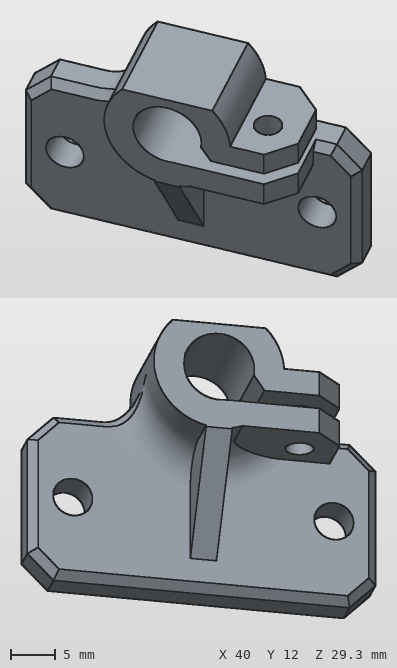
import cadquery as cq
import math

plate_width = 40.0
plate_height = 20.0
plate_thickness = 4.0
corner_chamfer = 3.0
front_chamfer = 1.0
mount_hole_diameter = 4.5
mount_hole_spacing = 30.0

depth = 12.0
barrel_radius = 7.5
barrel_axis_z = 24.0
bore_radius = 4.05
wall_above_bore = 1.2
barrel_top_z = barrel_axis_z + bore_radius + wall_above_bore
flat_half_width = math.sqrt(barrel_radius**2 - (barrel_top_z - barrel_axis_z) ** 2)
blend_radius = 4.0
blend_centre_distance = barrel_radius + blend_radius
blend_front_y = -plate_thickness - blend_radius

fading_start_angle = math.degrees(
    math.acos((blend_radius + front_chamfer) / (2 * blend_centre_distance))
)
bevel_steps = 10
bevel_overhang = 0.7

ear_end_x = 14.5
ear_corner_chamfer = 3.0
lower_ear_thickness = 3.0
upper_ear_thickness = 2.9
slot_height = 1.58
slot_bottom_z = plate_height
slot_top_z = slot_bottom_z + slot_height
ear_bottom_z = slot_bottom_z - lower_ear_thickness
ear_top_z = slot_top_z + upper_ear_thickness
lip_start_x = 5.2
lip_run = 1.2
lip_rise = 1.75
screw_hole_diameter = 3.2
screw_hole_x = 10.3
screw_hole_y = -7.25

rib_thickness = 3.0
rib_foot_z = 3.8


def make_plate():
    """Plate with cut corners and a chamfer around its front face."""
    return (
        cq.Workplane("XY")
        .box(plate_width, plate_thickness, plate_height, centered=(True, False, False))
        .translate((0, -plate_thickness, 0))
        .edges("|Y")
        .chamfer(corner_chamfer)
        .faces("<Y")
        .chamfer(front_chamfer)
    )


def make_upper_barrel():
    """Upper half of the barrel, flattened on top."""
    return (
        cq.Workplane("XZ")
        .moveTo(-barrel_radius, barrel_axis_z)
        .radiusArc((-flat_half_width, barrel_top_z), barrel_radius)
        .lineTo(flat_half_width, barrel_top_z)
        .radiusArc((barrel_radius, barrel_axis_z), barrel_radius)
        .close()
        .extrude(depth)
    )


def make_lower_barrel():
    """Lower half of the barrel with its fillets to the plate's front face and top edge."""
    reach = blend_centre_distance + blend_radius
    flared_half = (
        cq.Workplane("XY")
        .lineTo(reach, 0)
        .lineTo(reach, -plate_thickness)
        .lineTo(blend_centre_distance, -plate_thickness)
        .radiusArc((barrel_radius, blend_front_y), -blend_radius)
        .lineTo(barrel_radius, -depth)
        .lineTo(0, -depth)
        .close()
        .revolve(180, (0, 0), (0, 1))
        .translate((0, 0, barrel_axis_z))
    )
    outline = (
        cq.Workplane("XZ")
        .moveTo(-blend_centre_distance, plate_height)
        .radiusArc((-barrel_radius, barrel_axis_z), -blend_radius)
        .lineTo(barrel_radius, barrel_axis_z)
        .radiusArc((blend_centre_distance, plate_height), -blend_radius)
        .lineTo(blend_centre_distance, corner_chamfer)
        .lineTo(-blend_centre_distance, corner_chamfer)
        .close()
        .extrude(depth)
    )
    return flared_half.intersect(outline).cut(make_straight_bevel()).cut(make_fading_bevel())


def make_straight_bevel():
    """Cutter that carries the plate's front chamfer around the first part of the top fillet."""
    cutter_size = 2 * front_chamfer
    bevel_back_y = front_chamfer - plate_thickness
    return (
        cq.Workplane("XY")
        .moveTo(blend_radius, bevel_back_y)
        .lineTo(blend_radius + cutter_size, bevel_back_y - cutter_size)
        .lineTo(blend_radius, bevel_back_y - cutter_size)
        .close()
        .revolve(90 - fading_start_angle, (0, 0), (0, 1))
        .rotate((0, 0, 0), (0, 1, 0), fading_start_angle)
        .translate((-blend_centre_distance, 0, barrel_axis_z))
    )


def make_fading_bevel():
    """Cutter for the bevel between the top and front fillets, fading to a point on the barrel."""
    sections = [
        bevel_section(fading_start_angle * (1 - step / bevel_steps))
        for step in range(bevel_steps)
    ]
    tip = cq.Vertex.makeVertex(-barrel_radius, blend_front_y, barrel_axis_z)
    return cq.Workplane(cq.occ_impl.shapes.loft(*sections, tip, cap=True))


def bevel_section(angle):
    """Triangle across the bevel, at an angle below horizontal about the top fillet's axis.

    Both fillets are offset inward by the chamfer size. A point where the offsets meet is
    projected back square to each fillet, which gives the two borders of the bevel.
    """
    inner_radius = blend_radius + front_chamfer
    outward = cq.Vector(math.cos(math.radians(angle)), 0, -math.sin(math.radians(angle)))
    top_centre = cq.Vector(-blend_centre_distance, 0, barrel_axis_z)
    barrel_centre = cq.Vector(0, 0, barrel_axis_z)
    radial = top_centre + outward * inner_radius - barrel_centre
    height = math.sqrt(inner_radius**2 - (blend_centre_distance - radial.Length) ** 2)
    meeting = barrel_centre + radial + cq.Vector(0, blend_front_y + height, 0)
    front_centre = (
        barrel_centre
        + radial.normalized() * blend_centre_distance
        + cq.Vector(0, blend_front_y, 0)
    )
    top_border = meeting - outward * front_chamfer
    front_border = front_centre + (meeting - front_centre) * (blend_radius / inner_radius)
    middle = (top_border + front_border) * 0.5
    overhang = bevel_overhang * (front_border - top_border).Length
    outside = middle + (middle - meeting).normalized() * overhang
    return cq.Wire.makePolygon([top_border, front_border, outside], close=True)


def make_ears():
    """Block from the barrel axis to the ear ends, with its outer corners cut."""
    return (
        cq.Workplane("XY", origin=(0, -depth, ear_bottom_z))
        .box(ear_end_x, depth, ear_top_z - ear_bottom_z, centered=False)
        .edges("|Z and >X")
        .chamfer(ear_corner_chamfer)
    )


def make_rib():
    """Rib from the plate front to the lowest line of the barrel at its front end."""
    barrel_bottom_z = barrel_axis_z - barrel_radius
    return (
        cq.Workplane("YZ")
        .moveTo(-plate_thickness, rib_foot_z)
        .lineTo(-depth, barrel_bottom_z)
        .lineTo(-depth, barrel_axis_z)
        .lineTo(-plate_thickness, barrel_axis_z)
        .close()
        .extrude(rib_thickness / 2, both=True)
    )


def make_bore_and_slot():
    """Bore with the slot that opens it toward +X under a slanted lip."""
    bore = (
        cq.Workplane("XZ")
        .center(0, barrel_axis_z)
        .circle(bore_radius)
        .extrude(depth)
    )
    slot = (
        cq.Workplane("XZ")
        .moveTo(0, slot_bottom_z)
        .lineTo(plate_width / 2, slot_bottom_z)
        .lineTo(plate_width / 2, slot_top_z)
        .lineTo(lip_start_x, slot_top_z)
        .lineTo(lip_start_x - lip_run, slot_top_z + lip_rise)
        .lineTo(0, slot_top_z + lip_rise)
        .close()
        .extrude(depth)
    )
    return bore.union(slot)


def make_mount_holes():
    """Pair of mounting holes through the plate."""
    half_spacing = mount_hole_spacing / 2
    return (
        cq.Workplane("XZ")
        .pushPoints([(side * half_spacing, plate_height / 2) for side in (-1, 1)])
        .circle(mount_hole_diameter / 2)
        .extrude(plate_thickness)
    )


def make_screw_hole():
    """Clamp screw hole through both ears."""
    return (
        cq.Workplane("XY", origin=(screw_hole_x, screw_hole_y, ear_bottom_z))
        .circle(screw_hole_diameter / 2)
        .extrude(ear_top_z - ear_bottom_z)
    )


body = make_plate().union(make_lower_barrel()).union(make_upper_barrel())
body = body.union(make_ears()).union(make_rib())
result = body.cut(make_bore_and_slot()).cut(make_mount_holes()).cut(make_screw_hole())